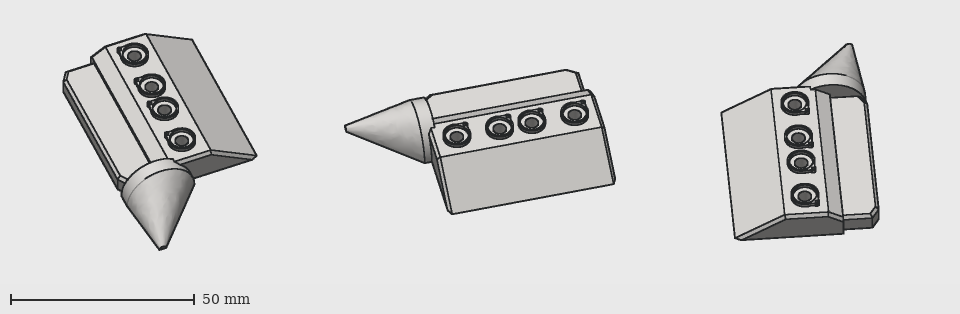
import cadquery as cq

BODY_LENGTH = 47.0
BODY_FRONT_Y = 10.0
TOP_FRONT_Y = 14.0
TOP_BACK_Y = 26.0
TOP_Z = 8.5
SLOPE_RUN_PER_RISE = 1.6
BODY_BACK_Y = TOP_BACK_Y + TOP_Z * SLOPE_RUN_PER_RISE
FRONT_WALL_Z = TOP_Z - (TOP_FRONT_Y - BODY_FRONT_Y) / SLOPE_RUN_PER_RISE
EDGE_CHAMFER = 0.9

SLAB_LENGTH = 44.0
SLAB_HEIGHT = 5.0
SLAB_MIN_X = (BODY_LENGTH - SLAB_LENGTH) / 2
SLAB_MAX_X = SLAB_MIN_X + SLAB_LENGTH
SLAB_CORNER_X = 3.0
SLAB_CORNER_Y = 2.0

NOSE_START_X = 45.0
NOSE_CYLINDER_LENGTH = 4.0
NOSE_TAPER_LENGTH = 18.0
NOSE_RADIUS = 10.0
NOSE_TIP_RADIUS = 1.0
NOSE_TIP_Y = 3.0

SEAT_OFFSETS = (-16.5, -4.5, 4.5, 16.5)
SEAT_XS = [BODY_LENGTH / 2 + offset for offset in SEAT_OFFSETS]
SEAT_Y = 20.0
SEAT_HEIGHT = 1.0
SEAT_OUTER_DIAMETER = 7.5
SEAT_RECESS_DIAMETER = 6.5
SCREW_HOLE_DIAMETER = 3.6
LUG_OFFSET = 3.0
LUG_DIAMETER = 1.5
LUG_WEB_HALF_WIDTH = 0.55
LUG_HOLE_DIAMETER = 0.8


def make_body():
    profile = [
        (BODY_FRONT_Y, 0),
        (BODY_FRONT_Y, FRONT_WALL_Z),
        (TOP_FRONT_Y, TOP_Z),
        (TOP_BACK_Y, TOP_Z),
        (BODY_BACK_Y, 0),
    ]
    body = cq.Workplane("YZ").polyline(profile).close().extrude(BODY_LENGTH)
    upper_edges = body.faces("<X or >X").edges("not (|Z or <Z)")
    return upper_edges.chamfer(EDGE_CHAMFER)


def make_slab():
    outline = [
        (SLAB_MIN_X, BODY_FRONT_Y + EDGE_CHAMFER),
        (SLAB_MIN_X, SLAB_CORNER_Y),
        (SLAB_MIN_X + SLAB_CORNER_X, 0),
        (SLAB_MAX_X - SLAB_CORNER_X, 0),
        (SLAB_MAX_X, SLAB_CORNER_Y),
        (SLAB_MAX_X, BODY_FRONT_Y + EDGE_CHAMFER),
    ]
    slab = cq.Workplane("XY").polyline(outline).close().extrude(SLAB_HEIGHT)
    return slab.faces(">Z").edges("not(>Y)").chamfer(EDGE_CHAMFER)


def make_nose():
    base = cq.Workplane("YZ", origin=(NOSE_START_X, BODY_FRONT_Y, 0))
    cylinder = base.circle(NOSE_RADIUS).extrude(NOSE_CYLINDER_LENGTH)
    taper = (
        base.workplane(offset=NOSE_CYLINDER_LENGTH)
        .circle(NOSE_RADIUS)
        .workplane(offset=NOSE_TAPER_LENGTH)
        .center(NOSE_TIP_Y - BODY_FRONT_Y, 0)
        .circle(NOSE_TIP_RADIUS)
        .loft(ruled=True)
    )
    nose_length = NOSE_CYLINDER_LENGTH + NOSE_TAPER_LENGTH
    upper_half = cq.Workplane("XY").box(
        nose_length, 2 * NOSE_RADIUS, NOSE_RADIUS, centered=(False, True, False)
    ).translate((NOSE_START_X, BODY_FRONT_Y, 0))
    return cylinder.union(taper).intersect(upper_half)


def seat_plane(x, z):
    return cq.Workplane("XY", origin=(x, SEAT_Y, z))


def make_seat(x):
    plane = seat_plane(x, TOP_Z)
    web_reach = LUG_OFFSET + LUG_WEB_HALF_WIDTH
    web_outline = [
        (0, 0),
        (0, -web_reach),
        (-LUG_OFFSET, -web_reach),
        (-web_reach, -LUG_OFFSET),
        (-web_reach, 0),
    ]
    rim = plane.circle(SEAT_OUTER_DIAMETER / 2).extrude(SEAT_HEIGHT)
    lug = plane.center(-LUG_OFFSET, -LUG_OFFSET).circle(LUG_DIAMETER / 2).extrude(SEAT_HEIGHT)
    web = plane.polyline(web_outline).close().extrude(SEAT_HEIGHT)
    recess = plane.circle(SEAT_RECESS_DIAMETER / 2).extrude(SEAT_HEIGHT)
    lug_hole = (
        plane.center(-LUG_OFFSET, -LUG_OFFSET).circle(LUG_HOLE_DIAMETER / 2).extrude(SEAT_HEIGHT)
    )
    return rim.union(lug).union(web).cut(recess).cut(lug_hole)


def make_screw_hole(x):
    return seat_plane(x, 0).circle(SCREW_HOLE_DIAMETER / 2).extrude(TOP_Z)


result = make_body().union(make_slab()).union(make_nose())
for seat_x in SEAT_XS:
    result = result.union(make_seat(seat_x)).cut(make_screw_hole(seat_x))